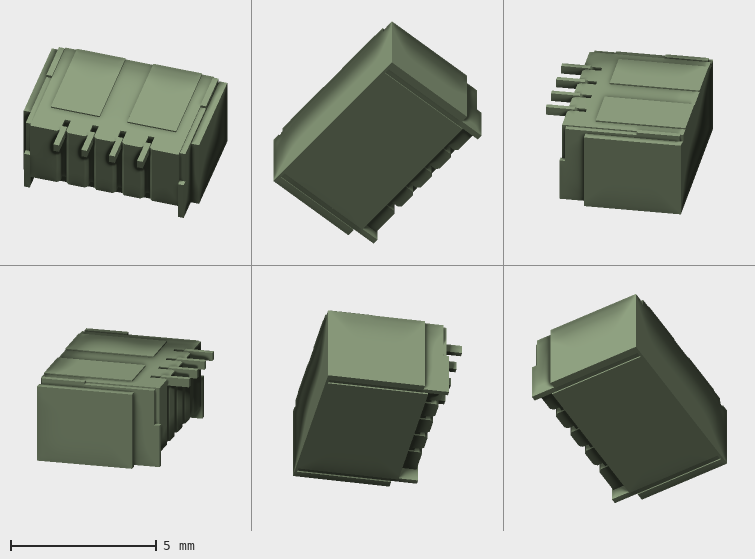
import cadquery as cq


OVERALL_WIDTH = 6.3
FLANGE_THICKNESS = 0.285
FLANGE_DEPTH = 3.39
FLANGE_HEIGHT = 2.69
TAB_THICKNESS = 0.2
BLOCK_DEPTH = 4.24
BLOCK_HEIGHT = 2.85
BASE_DEPTH = 3.605
BASE_HEIGHT = 0.5
REAR_WEB_THICKNESS = 0.095
REAR_WEB_HEIGHT = 2.6

flange_inner_x = OVERALL_WIDTH / 2 - FLANGE_THICKNESS
block_half_width = flange_inner_x - TAB_THICKNESS

PAD_INNER_X = 0.5
PAD_WIDTH = 1.75
PAD_DEPTH = 3.145
PAD_THICKNESS = 0.05

top_z = BLOCK_HEIGHT + PAD_THICKNESS

PIN_COUNT = 4
PIN_PITCH = 1.0
PIN_WIDTH = 0.2
PIN_THICKNESS = 0.295
PIN_TIP_DEPTH = 5.0
PIN_LEG_FRONT = 3.955
PIN_BOTTOM_Z = 0.555
PIN_TOP_BEND_DEPTH = 4.0
PIN_TOP_BEND = 0.35
PIN_LOWER_BEND = 0.29
SLOT_WIDTH = 0.215
SLOT_CHAMFER = 0.1

pin_positions = [(i - (PIN_COUNT - 1) / 2) * PIN_PITCH for i in range(PIN_COUNT)]

TAB_BOTTOM_Z = 0.05
TAB_TOP_STEP_DEPTH = 1.605
TAB_TOP_STEP = 0.095
TAB_UPPER_DEPTH = 4.095
TAB_LOWER_DEPTH = 4.295
TAB_SHOULDER_Z = 1.55


def block(x_min, x_max, rear, front, z_min, z_max):
    """Box between two X positions, two depths from the rear face and two heights."""
    size = (x_max - x_min, front - rear, z_max - z_min)
    return cq.Workplane("XY").box(*size, centered=False).translate((x_min, -front, z_min))


def side_profile(depth_height_points, x_min, thickness):
    """Plate of the given thickness in X, outlined by (depth, height) points."""
    points = [(-depth, height) for depth, height in depth_height_points]
    return cq.Workplane("YZ", origin=(x_min, 0, 0)).polyline(points).close().extrude(thickness)


def pin_slot(x_center):
    """Cutter for a pin slot, open at the top and front, with chamfered front corners."""
    half = SLOT_WIDTH / 2
    chamfer_start = BLOCK_DEPTH - SLOT_CHAMFER
    outline = [
        (-half, -BASE_DEPTH),
        (half, -BASE_DEPTH),
        (half, -chamfer_start),
        (half + SLOT_CHAMFER, -BLOCK_DEPTH),
        (-half - SLOT_CHAMFER, -BLOCK_DEPTH),
        (-half, -chamfer_start),
    ]
    cutter = cq.Workplane("XY").polyline(outline).close().extrude(BLOCK_HEIGHT)
    return cutter.translate((x_center, 0, 0))


def make_housing():
    """Overhanging block with top pads, pin slots and a flange on each side."""
    block_outline = [
        (0, 0),
        (BASE_DEPTH, 0),
        (BASE_DEPTH, BASE_HEIGHT),
        (BLOCK_DEPTH, BASE_HEIGHT),
        (BLOCK_DEPTH, BLOCK_HEIGHT),
        (0, BLOCK_HEIGHT),
    ]
    body = side_profile(block_outline, -block_half_width, 2 * block_half_width)

    pad = block(PAD_INNER_X, PAD_INNER_X + PAD_WIDTH, 0, PAD_DEPTH, BLOCK_HEIGHT, top_z)
    rear_web = block(block_half_width, flange_inner_x, 0, REAR_WEB_THICKNESS, 0, REAR_WEB_HEIGHT)
    flange = block(flange_inner_x, OVERALL_WIDTH / 2, 0, FLANGE_DEPTH, 0, FLANGE_HEIGHT)
    for feature in (pad, rear_web, flange):
        body = body.union(feature).union(feature.mirror("YZ"))

    for x in pin_positions:
        body = body.cut(pin_slot(x))
    return body


def make_pin(x_center):
    """Pin with an upright leg against the rear of its slot, sloping out to a level tail."""
    arm_bottom_z = top_z - PIN_THICKNESS
    slope_foot_z = top_z - PIN_TOP_BEND
    return side_profile(
        [
            (BASE_DEPTH, PIN_BOTTOM_Z),
            (PIN_LEG_FRONT, PIN_BOTTOM_Z),
            (PIN_LEG_FRONT, arm_bottom_z - PIN_LOWER_BEND),
            (PIN_LEG_FRONT + PIN_LOWER_BEND, arm_bottom_z),
            (PIN_TIP_DEPTH, arm_bottom_z),
            (PIN_TIP_DEPTH, top_z),
            (PIN_TOP_BEND_DEPTH, top_z),
            (PIN_TOP_BEND_DEPTH - PIN_TOP_BEND, slope_foot_z),
            (BASE_DEPTH, slope_foot_z),
        ],
        x_center - PIN_WIDTH / 2,
        PIN_WIDTH,
    )


def make_tab(x_min):
    """Flat tab with a raised rear top edge and a lower part that projects forward."""
    upper_z = top_z - TAB_TOP_STEP
    return side_profile(
        [
            (REAR_WEB_THICKNESS, TAB_BOTTOM_Z),
            (TAB_LOWER_DEPTH, TAB_BOTTOM_Z),
            (TAB_LOWER_DEPTH, TAB_SHOULDER_Z),
            (TAB_UPPER_DEPTH, TAB_SHOULDER_Z),
            (TAB_UPPER_DEPTH, upper_z),
            (TAB_TOP_STEP_DEPTH, upper_z),
            (TAB_TOP_STEP_DEPTH, top_z),
            (REAR_WEB_THICKNESS, top_z),
        ],
        x_min,
        TAB_THICKNESS,
    )


housing = make_housing()
pins = [make_pin(x) for x in pin_positions]
tabs = [make_tab(x) for x in (-flange_inner_x, block_half_width)]

result = cq.Compound.makeCompound([body.val() for body in [housing, *pins, *tabs]])